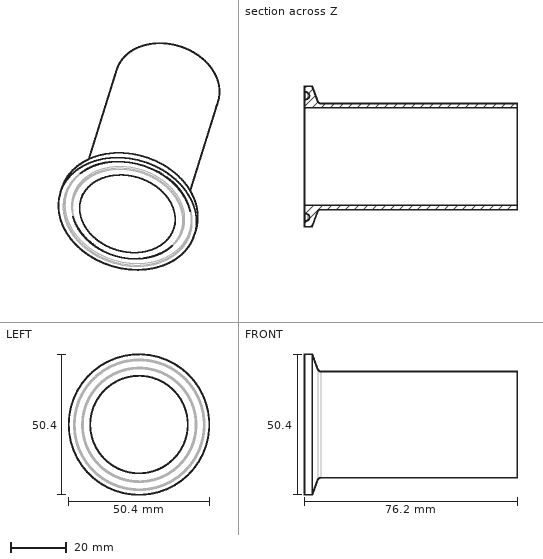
import cadquery as cq
import math


length = 76.2
tube_radius = 38.1 / 2
bore_radius = 34.8 / 2

flange_radius = 50.4 / 2
rim_width = 2.8
clamp_angle = math.radians(20)
neck_fillet = 1.2

groove_radius = 21.8
groove_width = 3.5
flank_angle = math.radians(20)
lip_radius = 0.4
floor_radius = 1.2

neck_x = rim_width + (flange_radius - tube_radius) * math.tan(clamp_angle)

neck_tangent = neck_fillet * math.tan((math.pi / 2 - clamp_angle) / 2)
neck_center_x = neck_x + neck_tangent
neck_center_radius = tube_radius + neck_fillet


def revolve_about_axis(profile):
    """Turn a closed (X, radius) profile about the tube axis."""
    return profile.revolve(360, (0, 0, 0), (1, 0, 0))


def ferrule_blank():
    """Tube and flange, with the neck rounded where they meet."""
    cone_end = (
        neck_x - neck_tangent * math.sin(clamp_angle),
        tube_radius + neck_tangent * math.cos(clamp_angle),
    )
    mid_angle = (clamp_angle + math.pi / 2) / 2
    neck_middle = (
        neck_center_x - neck_fillet * math.cos(mid_angle),
        neck_center_radius - neck_fillet * math.sin(mid_angle),
    )
    return revolve_about_axis(
        cq.Workplane("XY")
        .moveTo(0, bore_radius)
        .lineTo(0, flange_radius)
        .lineTo(rim_width, flange_radius)
        .lineTo(*cone_end)
        .threePointArc(neck_middle, (neck_center_x, tube_radius))
        .lineTo(length, tube_radius)
        .lineTo(length, bore_radius)
        .close()
    )


def gasket_groove():
    """Ring groove with rounded lips, sloped flanks and a round floor, all tangent."""
    half_width = groove_width / 2
    lip_end = half_width - lip_radius * math.cos(flank_angle)
    lip_depth = lip_radius * (1 - math.sin(flank_angle))
    floor_start = floor_radius * math.cos(flank_angle)
    flank_depth = lip_depth + (lip_end - floor_start) / math.tan(flank_angle)
    groove_depth = flank_depth + floor_radius * (1 - math.sin(flank_angle))

    mid_angle = (math.pi / 2 - flank_angle) / 2
    lip_middle = half_width - lip_radius * math.sin(mid_angle)
    lip_middle_depth = lip_radius * (1 - math.cos(mid_angle))

    return revolve_about_axis(
        cq.Workplane("XY")
        .moveTo(0, groove_radius - half_width)
        .threePointArc((lip_middle_depth, groove_radius - lip_middle), (lip_depth, groove_radius - lip_end))
        .lineTo(flank_depth, groove_radius - floor_start)
        .threePointArc((groove_depth, groove_radius), (flank_depth, groove_radius + floor_start))
        .lineTo(lip_depth, groove_radius + lip_end)
        .threePointArc((lip_middle_depth, groove_radius + lip_middle), (0, groove_radius + half_width))
        .close()
    )


result = ferrule_blank().cut(gasket_groove())